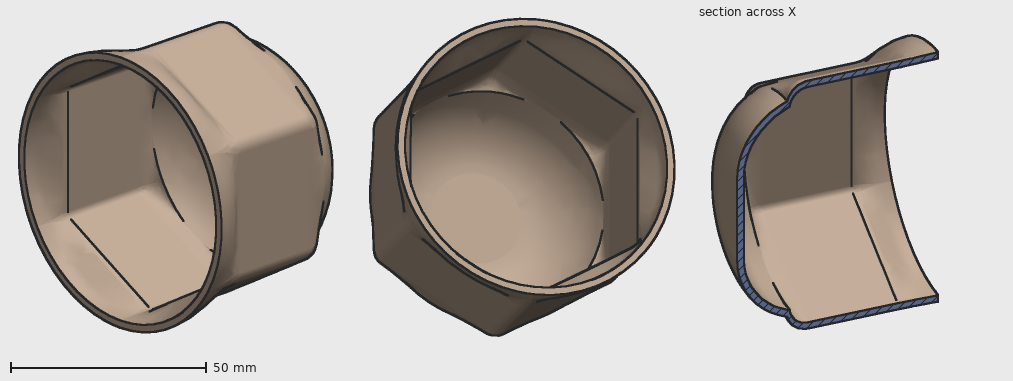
import cadquery as cq
import math

LENGTH = 56.0
WALL = 2.0
RIM_RADIUS = 37.0
FLAT_DISTANCE = 32.4
CORNER_RADIUS = 4.0
FLARE_RADIUS = 13.0
FLARE_BLEND_RADIUS = 3.0
SHOULDER_START = 36.2
SHOULDER_END = 42.0
INNER_SHOULDER_END = 41.2
DOME_FLAT_RADIUS = 12.0
DOME_RADIUS = 21.3

SIDES = 6
HALF_SIDE = math.pi / SIDES
RIM_EDGE_HALF_ANGLE = math.radians(0.15)
LOFT_STEPS = 8
DOME_CENTRE_Y = LENGTH - DOME_RADIUS


def polar(radius, angle, y):
    """Point at a radius and an angle about the Y axis, the angle measured from +X to +Z."""
    return cq.Vector(radius * math.cos(angle), y, radius * math.sin(angle))


def section(y, flat, tangent, corner, straight=False):
    """Six sides and six rounded corners; tangent is the (radius, angle off the flat) where they join."""
    join_radius, join_angle = tangent
    edges = []
    for side in range(SIDES):
        middle = 2 * side * HALF_SIDE
        start = polar(join_radius, middle - join_angle, y)
        end = polar(join_radius, middle + join_angle, y)
        following = polar(join_radius, middle + 2 * HALF_SIDE - join_angle, y)
        if straight:
            edges.append(cq.Edge.makeLine(start, end))
        else:
            edges.append(cq.Edge.makeThreePointArc(start, polar(flat, middle, y), end))
        edges.append(cq.Edge.makeThreePointArc(end, polar(corner, middle + HALF_SIDE, y), following))
    return cq.Wire.assembleEdges(edges)


def hexagon(y, flat, rounding):
    """Hexagon with straight sides and rounded corners."""
    centre = (flat - rounding) / math.cos(HALF_SIDE)
    half_length = centre * math.sin(HALF_SIDE)
    tangent = (math.hypot(flat, half_length), math.atan2(half_length, flat))
    return section(y, flat, tangent, rounded_corner(flat, rounding), straight=True)


def rounded_corner(flat, rounding):
    """Axis to the tip of a rounded corner of the straight-sided hexagon."""
    return (flat - rounding) / math.cos(HALF_SIDE) + rounding


def bulged_hexagon(y, flat, corner, rounding):
    """Hexagon whose sides are arcs reaching flat, tangent to rounded corners reaching corner."""
    centre = corner - rounding
    projection = centre * math.cos(HALF_SIDE)
    side_radius = centre**2 + flat**2 - rounding**2 - 2 * flat * projection
    side_radius /= 2 * (flat - rounding - projection)
    side_centre = flat - side_radius
    direction = math.atan2(centre * math.sin(HALF_SIDE), projection - side_centre)
    along = side_centre + side_radius * math.cos(direction)
    across = side_radius * math.sin(direction)
    tangent = (math.hypot(along, across), math.atan2(across, along))
    return section(y, flat, tangent, corner)


def circle(y, radius):
    """Round section, split where the sides and corners of the hexagon run into it."""
    return section(y, radius, (radius, HALF_SIDE - RIM_EDGE_HALF_ANGLE), radius)


def flare(flat, rim, rounding, flare_radius, blend_radius):
    """Round rim narrowing to the hexagon; returns the solid and the Y where the hexagon starts."""
    flare_centre = rim - flare_radius
    blend_centre = flat + blend_radius
    centre_distance = flare_radius + blend_radius
    top = math.sqrt(centre_distance**2 - (blend_centre - flare_centre)**2)
    tangent_y = top * flare_radius / centre_distance
    hex_corner = rounded_corner(flat, rounding)

    def bulged(y, side):
        corner = rim + (hex_corner - rim) * y / top
        return bulged_hexagon(y, side, corner, rounding)

    wires = [circle(0, rim)]
    for step in range(1, LOFT_STEPS + 1):
        y = tangent_y * step / LOFT_STEPS
        wires.append(bulged(y, flare_centre + math.sqrt(flare_radius**2 - y**2)))
    blend_y = (tangent_y + top) / 2
    wires.append(bulged(blend_y, blend_centre - math.sqrt(blend_radius**2 - (top - blend_y)**2)))
    wires.append(hexagon(top, flat, rounding))
    return cq.Solid.makeLoft(wires), top


def shoulder(flat, rounding, end_y, end_radius):
    """Hexagon rounding in to the circle at the foot of the dome."""
    height = end_y - SHOULDER_START
    hex_corner = rounded_corner(flat, rounding)
    drop = hex_corner - end_radius
    arc_radius = (drop**2 + height**2) / (2 * drop)
    wires = [hexagon(SHOULDER_START, flat, rounding)]
    for step in range(1, LOFT_STEPS):
        rise = height * step / LOFT_STEPS
        corner = hex_corner - arc_radius + math.sqrt(arc_radius**2 - rise**2)
        side = flat + (end_radius - flat) * (rise / height)**2
        wires.append(bulged_hexagon(SHOULDER_START + rise, side, corner, rounding))
    wires.append(circle(end_y, end_radius))
    return cq.Solid.makeLoft(wires)


def dome(radius, foot_y, foot_radius):
    """Flat-topped dome standing on the shoulder."""
    top = DOME_CENTRE_Y + radius
    foot_angle = math.asin((foot_y - DOME_CENTRE_Y) / radius)
    mid_angle = (foot_angle + math.pi / 2) / 2
    mid = (DOME_FLAT_RADIUS + radius * math.cos(mid_angle), DOME_CENTRE_Y + radius * math.sin(mid_angle))
    profile = (
        cq.Workplane("XY")
        .moveTo(0, foot_y)
        .lineTo(foot_radius, foot_y)
        .threePointArc(mid, (DOME_FLAT_RADIUS, top))
        .lineTo(0, top)
        .close()
    )
    return profile.revolve(360, (0, 0, 0), (0, 1, 0))


def skin(offset, foot_y):
    """Solid bounded by the outer surface moved inwards by offset."""
    flat = FLAT_DISTANCE - offset
    rounding = CORNER_RADIUS - offset
    dome_radius = DOME_RADIUS - offset
    foot_radius = DOME_FLAT_RADIUS + math.sqrt(dome_radius**2 - (foot_y - DOME_CENTRE_Y)**2)
    flare_solid, flare_top = flare(
        flat, RIM_RADIUS - offset, rounding, FLARE_RADIUS - offset, FLARE_BLEND_RADIUS + offset
    )
    prism = cq.Solid.extrudeLinear(
        hexagon(flare_top, flat, rounding), [], cq.Vector(0, SHOULDER_START - flare_top, 0)
    )
    body = cq.Workplane(obj=flare_solid).union(cq.Workplane(obj=prism))
    body = body.union(cq.Workplane(obj=shoulder(flat, rounding, foot_y, foot_radius)))
    return body.union(dome(dome_radius, foot_y, foot_radius))


result = skin(0, SHOULDER_END).cut(skin(WALL, INNER_SHOULDER_END))